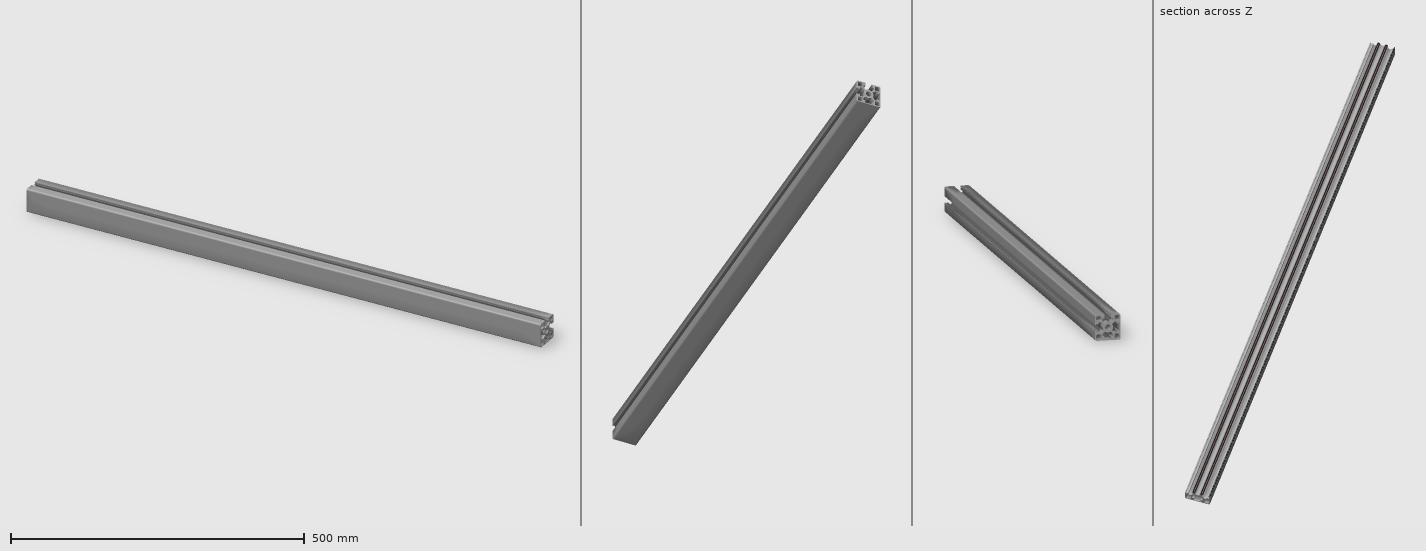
import cadquery as cq


LENGTH = 1000.0
SIZE = 45.0
EDGE_RADIUS = 3.0
CORNER_BOX = 13.0
BOX_WALL = 2.0
HOLLOW_FILLET = 2.25
SLOT_OPENING = 11.5
LIP_THICKNESS = 6.3
SKIN_THICKNESS = 1.75
GROOVE_HEIGHT = 2.0
GROOVE_REACH = 1.8
CORE_DIAMETER = 18.0
BORE_DIAMETER = 10.0
WEB_THICKNESS = 3.0

HALF = SIZE / 2
BOX_INNER = HALF - CORNER_BOX
BOX_MIDDLE = HALF - CORNER_BOX / 2
HOLLOW_SIDE = CORNER_BOX - 2 * BOX_WALL
CHAMBER_TOP = HALF - LIP_THICKNESS
GROOVE_MIDDLE = HALF - SKIN_THICKNESS - GROOVE_HEIGHT / 2
WEB_SPAN = 2 * BOX_INNER * 2 ** 0.5 + WEB_THICKNESS

OPEN_SIDES = (0, 270)
CLOSED_SIDES = (90, 180)
WEB_ANGLES = (45, 135)


def bar(width, height, y=0.0, z=0.0):
    """Full-length rectangular bar centred at (y, z)."""
    return cq.Workplane("YZ").center(y, z).rect(width, height).extrude(LENGTH / 2, both=True)


def rod(diameter):
    """Full-length round bar on the axis."""
    return cq.Workplane("YZ").circle(diameter / 2).extrude(LENGTH / 2, both=True)


def turned(shape, angle):
    """Shape turned about the X axis."""
    return shape.rotate((0, 0, 0), (1, 0, 0), angle)


def outer_block():
    return bar(SIZE, SIZE).edges("|X").fillet(EDGE_RADIUS)


def slot_cavity():
    """T-slot void open towards +Z: mouth with grooved sides and a wide chamber below the lips."""
    mouth = bar(SLOT_OPENING, HALF, 0, HALF / 2)
    grooves = bar(SLOT_OPENING + 2 * GROOVE_REACH, GROOVE_HEIGHT, 0, GROOVE_MIDDLE)
    chamber = bar(2 * BOX_INNER, CHAMBER_TOP, 0, CHAMBER_TOP / 2)
    return mouth.union(grooves).union(chamber)


def skin():
    """Thin skin across the mouth of the +Z slot."""
    return bar(SLOT_OPENING, SKIN_THICKNESS, 0, HALF - SKIN_THICKNESS / 2)


def diagonal_web(angle):
    return turned(bar(WEB_SPAN, WEB_THICKNESS), angle)


def corner_hollow(y_sign, z_sign):
    hollow = bar(HOLLOW_SIDE, HOLLOW_SIDE, y_sign * BOX_MIDDLE, z_sign * BOX_MIDDLE)
    return hollow.edges("|X").fillet(HOLLOW_FILLET)


result = outer_block()
for side in OPEN_SIDES + CLOSED_SIDES:
    result = result.cut(turned(slot_cavity(), side))

result = result.union(rod(CORE_DIAMETER))
for web_angle in WEB_ANGLES:
    result = result.union(diagonal_web(web_angle))
for side in CLOSED_SIDES:
    result = result.union(turned(skin(), side))

for y_sign in (-1, 1):
    for z_sign in (-1, 1):
        result = result.cut(corner_hollow(y_sign, z_sign))
result = result.cut(rod(BORE_DIAMETER))